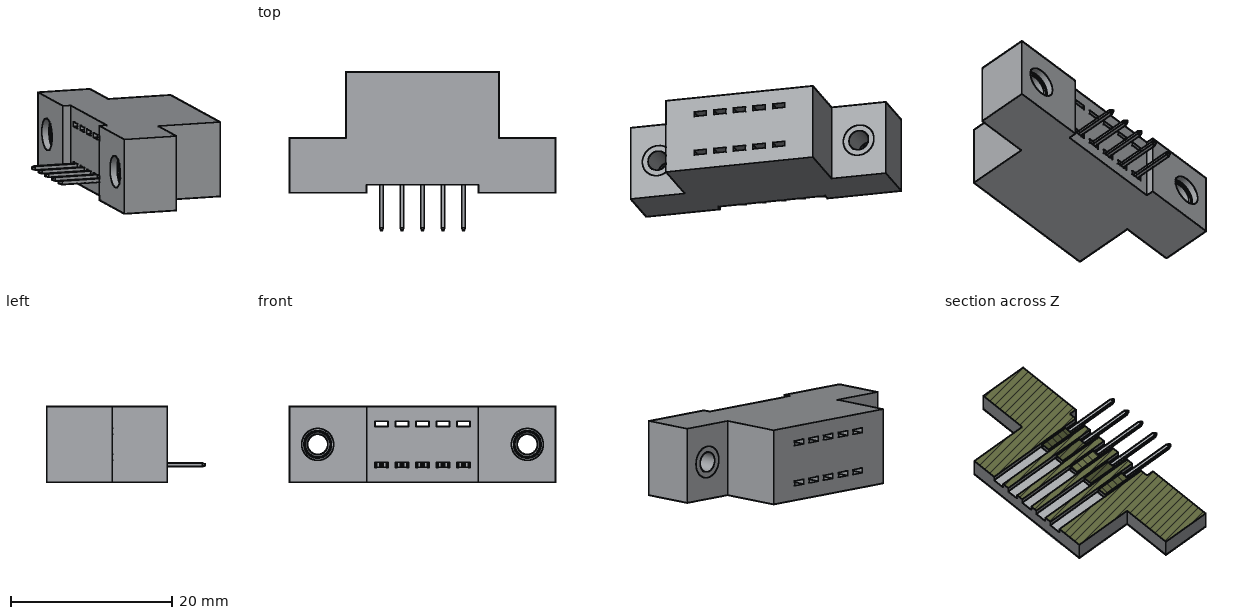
import cadquery as cq

FLANGE_WIDTH = 33.02
FLANGE_DEPTH = 6.83
HEIGHT = 9.4
BODY_WIDTH = 19.0
BODY_DEPTH = 14.99
RECESS_WIDTH = 13.85
RECESS_DEPTH = 1.0

POSITIONS = 5
PITCH = 2.54
ROW_SPACING = 5.08
UPPER_ROW_Z = ROW_SPACING / 2
LOWER_ROW_Z = -ROW_SPACING / 2
SLOT_WIDTH = 1.57
SLOT_HEIGHT = 0.6

OVERALL_DEPTH = 19.69
TIP_Y = BODY_DEPTH - OVERALL_DEPTH
TAIL_SIZE = 0.46
TIP_SIZE = 0.2
TIP_LENGTH = 0.38
BLADE_WIDTH = 1.22
BLADE_HEIGHT = SLOT_HEIGHT
BLADE_START_Y = RECESS_DEPTH + 2.0
BLADE_LENGTH = 4.0

HOLE_SPACING = 26.0
INSERT_DIAMETER = 3.96
INSERT_SETBACK = 0.92
CHAMFER_DIAMETER = 3.42
MOUTH_DIAMETER = 3.1
CHAMFER_DEPTH = (CHAMFER_DIAMETER - MOUTH_DIAMETER) / 2
BORE_DIAMETER = 2.5
MOUTH_LENGTH = 1.0
TAPER_DEPTH = (MOUTH_DIAMETER - BORE_DIAMETER) / 2

pin_x_positions = [(i - (POSITIONS - 1) / 2) * PITCH for i in range(POSITIONS)]
hole_x_positions = [-HOLE_SPACING / 2, HOLE_SPACING / 2]


def block(width, depth, height, front_y):
    """Box centred on X and Z that runs back from front_y."""
    return cq.Workplane("XY").box(width, depth, height).translate((0, front_y + depth / 2, 0))


def make_housing():
    housing = block(FLANGE_WIDTH, FLANGE_DEPTH, HEIGHT, 0)
    housing = housing.union(block(BODY_WIDTH, BODY_DEPTH, HEIGHT, 0))
    housing = housing.cut(block(RECESS_WIDTH, RECESS_DEPTH, HEIGHT, 0))

    slot = block(SLOT_WIDTH, BODY_DEPTH, SLOT_HEIGHT, 0)
    for row_z in (LOWER_ROW_Z, UPPER_ROW_Z):
        for x in pin_x_positions:
            housing = housing.cut(slot.translate((x, 0, row_z)))

    for x in hole_x_positions:
        hole = cq.Workplane("XZ").center(x, 0).circle(INSERT_DIAMETER / 2).extrude(-FLANGE_DEPTH)
        housing = housing.cut(hole)
    return housing


def make_pin(x):
    """One contact: tapered tip, square tail and retaining blade."""
    tip_base_y = TIP_Y + TIP_LENGTH
    tip = (
        cq.Workplane("XZ", origin=(0, TIP_Y, 0))
        .rect(TIP_SIZE, TIP_SIZE)
        .workplane(offset=-TIP_LENGTH)
        .rect(TAIL_SIZE, TAIL_SIZE)
        .loft(ruled=True)
    )
    tail = block(TAIL_SIZE, BLADE_START_Y - tip_base_y, TAIL_SIZE, tip_base_y)
    blade = block(BLADE_WIDTH, BLADE_LENGTH, BLADE_HEIGHT, BLADE_START_Y)
    return tip.union(tail).union(blade).translate((x, 0, LOWER_ROW_Z))


def make_insert(x):
    """One bushing, as a profile of radius against Y turned about the hole axis."""
    chamfer_end_y = INSERT_SETBACK + CHAMFER_DEPTH
    mouth_end_y = chamfer_end_y + MOUTH_LENGTH
    taper_end_y = mouth_end_y + TAPER_DEPTH
    profile = [
        (INSERT_DIAMETER / 2, INSERT_SETBACK),
        (INSERT_DIAMETER / 2, FLANGE_DEPTH),
        (BORE_DIAMETER / 2, FLANGE_DEPTH),
        (BORE_DIAMETER / 2, taper_end_y),
        (MOUTH_DIAMETER / 2, mouth_end_y),
        (MOUTH_DIAMETER / 2, chamfer_end_y),
        (CHAMFER_DIAMETER / 2, INSERT_SETBACK),
    ]
    insert = cq.Workplane("XY").polyline(profile).close().revolve(360, (0, 0, 0), (0, 1, 0))
    return insert.translate((x, 0, 0))


housing = make_housing()
pins = [make_pin(x) for x in pin_x_positions]
inserts = [make_insert(x) for x in hole_x_positions]

result = cq.Compound.makeCompound(
    [housing.val()]
    + [pin.val() for pin in pins]
    + [insert.val() for insert in inserts]
)